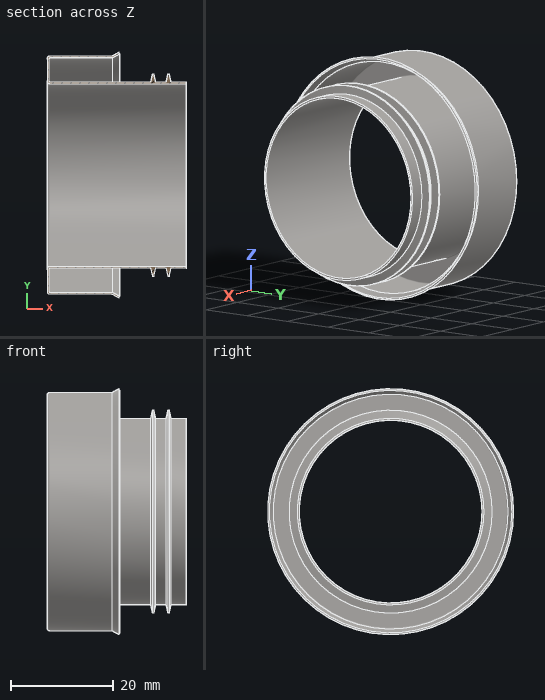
import cadquery as cq
import math

total_length = 27.2
wall = 0.4
bore_radius = 35.6 / 2
spigot_radius = bore_radius + wall
body_radius = 46.6 / 2
cup_radius = body_radius - wall

outer_bend = 0.6
inner_bend = outer_bend - wall

lip_radius = 24.0
lip_end_x = 14.2
lip_angle = math.radians(28)

ridge_radius = 19.8
ridge_base_width = 1.0
ridge_tip_width = 0.3
ridge_end_distances = (3.5, 6.5)


def make_folded_shell():
    """Constant-thickness sheet: inner tube, end wall, outer shell and flared lip."""
    lip_tip_x = lip_end_x - wall * math.sin(lip_angle)
    lip_inner_radius = lip_radius - wall * math.cos(lip_angle)
    flare_x = lip_tip_x - (lip_radius - body_radius) / math.tan(lip_angle)
    inner_flare_x = flare_x + wall * math.tan(lip_angle / 2)

    profile = (
        cq.Workplane("XY")
        .moveTo(total_length, bore_radius)
        .lineTo(outer_bend, bore_radius)
        .radiusArc((0, bore_radius + outer_bend), outer_bend)
        .lineTo(0, body_radius - outer_bend)
        .radiusArc((outer_bend, body_radius), outer_bend)
        .lineTo(flare_x, body_radius)
        .lineTo(lip_tip_x, lip_radius)
        .lineTo(lip_end_x, lip_inner_radius)
        .lineTo(inner_flare_x, cup_radius)
        .lineTo(outer_bend, cup_radius)
        .radiusArc((wall, cup_radius - inner_bend), -inner_bend)
        .lineTo(wall, spigot_radius + inner_bend)
        .radiusArc((outer_bend, spigot_radius), -inner_bend)
        .lineTo(total_length, spigot_radius)
        .close()
    )
    return profile.revolve(360, (0, 0, 0), (1, 0, 0))


def make_ridge(center_x):
    """Tapered ring, rooted inside the spigot wall so that it fuses cleanly."""
    root_radius = spigot_radius - wall / 2
    half_base = ridge_base_width / 2
    half_tip = ridge_tip_width / 2
    profile = (
        cq.Workplane("XY")
        .moveTo(center_x - half_base, root_radius)
        .lineTo(center_x - half_base, spigot_radius)
        .lineTo(center_x - half_tip, ridge_radius)
        .lineTo(center_x + half_tip, ridge_radius)
        .lineTo(center_x + half_base, spigot_radius)
        .lineTo(center_x + half_base, root_radius)
        .close()
    )
    return profile.revolve(360, (0, 0, 0), (1, 0, 0))


result = make_folded_shell()
for end_distance in ridge_end_distances:
    result = result.union(make_ridge(total_length - end_distance))